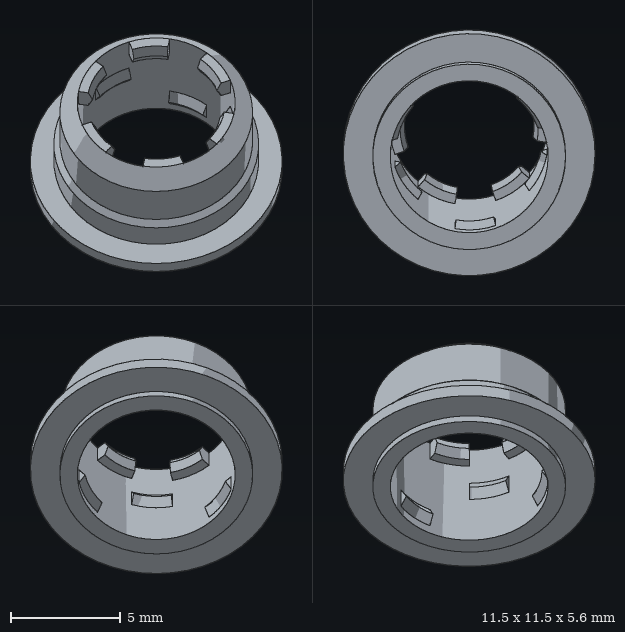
import cadquery as cq

height = 5.6
bore_radius = 7.2 / 2
body_radius = 8.8 / 2
collar_radius = 9.35 / 2
flange_radius = 11.5 / 2
flange_bottom = 0.35
flange_top = 1.0
collar_top = 2.3
collar_chamfer = collar_radius - body_radius
top_chamfer = body_radius - bore_radius

tooth_height = 1.0
tooth_span = 30.0
tooth_count = 6
tooth_pitch = 360.0 / tooth_count
rim_tooth_edge_radius = 3.15
rim_tooth_crest_radius = 2.95
inner_tooth_crest_radius = 3.32
tier_spacing = 2.07
rim_tier_bottom = height - tooth_height
middle_tier_bottom = rim_tier_bottom - tier_spacing
low_tier_bottom = middle_tier_bottom - tier_spacing


def make_sleeve():
    """Revolve the flanged, chamfered wall around Z."""
    outline = [
        (bore_radius, 0),
        (body_radius, 0),
        (body_radius, flange_bottom),
        (flange_radius, flange_bottom),
        (flange_radius, flange_top),
        (collar_radius, flange_top),
        (collar_radius, collar_top),
        (body_radius, collar_top + collar_chamfer),
        (body_radius, height - top_chamfer),
        (bore_radius, height),
    ]
    return cq.Workplane("XZ").polyline(outline).close().revolve(360, (0, 0, 0), (0, 1, 0))


def make_tooth(center_angle, bottom, edge_radius, crest_radius):
    """Revolve a ridge, standing on the bore wall with its crest at mid height, through one tooth span."""
    top = bottom + tooth_height
    middle = bottom + tooth_height / 2
    ridge = cq.Workplane("XZ").moveTo(bore_radius, bottom)
    if edge_radius < bore_radius:
        ridge = ridge.lineTo(edge_radius, bottom).lineTo(crest_radius, middle).lineTo(edge_radius, top)
    else:
        ridge = ridge.lineTo(crest_radius, middle)
    tooth = ridge.lineTo(bore_radius, top).close().revolve(tooth_span, (0, 0, 0), (0, 1, 0))
    return tooth.rotate((0, 0, 0), (0, 0, 1), center_angle - tooth_span / 2)


def add_teeth(sleeve):
    """Add the rim teeth, and in the gaps between them the inner teeth, alternating between two tiers."""
    for i in range(tooth_count):
        gap_angle = i * tooth_pitch
        rim_angle = gap_angle + tooth_pitch / 2
        tier_bottom = low_tier_bottom if i % 2 == 0 else middle_tier_bottom
        rim_tooth = make_tooth(rim_angle, rim_tier_bottom, rim_tooth_edge_radius, rim_tooth_crest_radius)
        inner_tooth = make_tooth(gap_angle, tier_bottom, bore_radius, inner_tooth_crest_radius)
        sleeve = sleeve.union(rim_tooth).union(inner_tooth)
    return sleeve


result = add_teeth(make_sleeve())